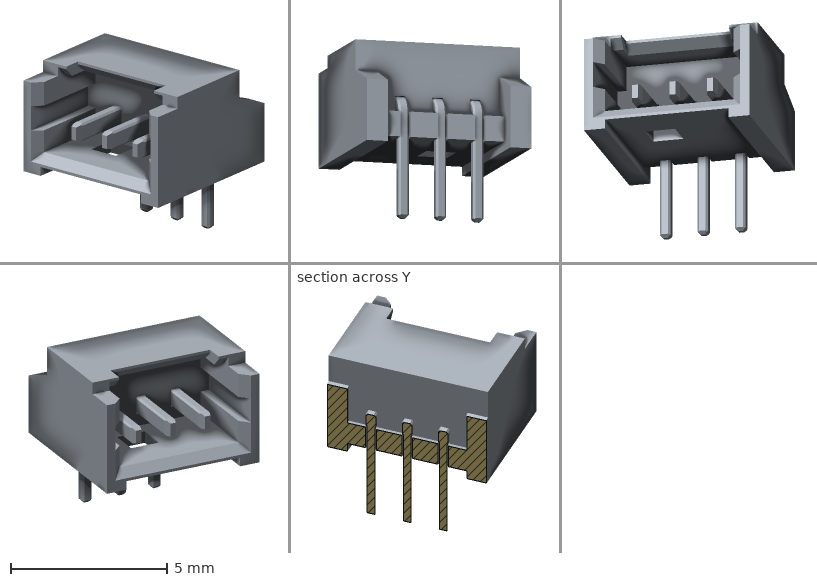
import cadquery as cq


width = 5.5
depth = 5.5
height = 3.5
total_height = 5.8
front_y = -depth / 2
back_y = depth / 2

foot_width = 0.7
foot_height = 0.3
feet_gap = width - 2 * foot_width
wing_depth = 1.295
wing_root_height = 2.5
wing_end_height = 1.995
body_back_y = back_y - wing_depth

block_back_y = back_y - 0.7

cavity_width = 4.28
cavity_depth = 2.945
cavity_floor = 0.7
entry_bevel = 0.3
cavity_back_y = front_y + cavity_depth

groove_depth = entry_bevel
groove_bottom = 1.45
groove_top = 2.29

roof_thickness = 0.4
roof_lip = 0.09
roof_setback = 1.005
roof_notch_width = 3.585
roof_notch_depth = 0.61
roof_bottom = height - roof_thickness
roof_front_y = front_y + roof_setback
roof_notch_y = roof_front_y + roof_notch_depth

floor_hole_size = 1.0
floor_hole_front_y = -1.295

pin_count = 3
pin_pitch = 1.245
pin_width = 0.35
bar_height = 0.6
bar_bottom = 1.125
bar_top = bar_bottom + bar_height
bar_tip_y = -2.05
bar_taper_length = 0.3
bar_taper_inset = 0.075
leg_back_y = 1.885
leg_front_y = leg_back_y - pin_width
leg_bottom = height - total_height
leg_taper_length = 0.105
leg_taper_inset = 0.1
pin_edge_chamfer = 0.065
pin_positions = [(i - (pin_count - 1) / 2) * pin_pitch for i in range(pin_count)]


def block(x_size, y_min, y_max, z_min, z_max, x_centre=0):
    """Box centred on x_centre, between the given Y and Z limits."""
    size = (x_size, y_max - y_min, z_max - z_min)
    return cq.Workplane("XY").box(*size, centered=(True, False, False)).translate((x_centre, y_min, z_min))


def side_extrusion(points, x_size):
    """Closed Y-Z outline extruded along X, symmetric about X = 0."""
    return cq.Workplane("YZ").polyline(points).close().extrude(x_size / 2, both=True)


def make_shell():
    """Outer housing: side outline, rear recess, low rear block and gap under the floor."""
    outline = [
        (front_y, 0),
        (back_y, 0),
        (back_y, wing_end_height),
        (body_back_y, wing_root_height),
        (body_back_y, height),
        (roof_front_y, height),
        (roof_front_y, roof_bottom),
        (front_y, roof_bottom),
    ]
    shell = side_extrusion(outline, width)
    shell = shell.cut(block(feet_gap, body_back_y, back_y, 0, height))
    shell = shell.union(block(feet_gap, body_back_y, block_back_y, 0, bar_bottom))
    return shell.cut(block(feet_gap, front_y, back_y, 0, foot_height))


def make_cavity():
    """Space inside the housing: main pocket, bevelled entry and side grooves."""
    pocket = block(cavity_width, front_y, cavity_back_y, cavity_floor, roof_bottom)
    entry_outline = [
        (-cavity_width / 2 - entry_bevel, front_y),
        (cavity_width / 2 + entry_bevel, front_y),
        (cavity_width / 2, front_y + entry_bevel),
        (-cavity_width / 2, front_y + entry_bevel),
    ]
    entry_plan = cq.Workplane("XY").polyline(entry_outline).close().extrude(height)
    entry_side = side_extrusion(
        [
            (front_y, cavity_floor - entry_bevel),
            (front_y + entry_bevel, cavity_floor),
            (front_y + entry_bevel, roof_bottom),
            (front_y, roof_bottom),
        ],
        width,
    )
    grooves = block(cavity_width + 2 * groove_depth, front_y, cavity_back_y, groove_bottom, groove_top)
    return pocket.union(entry_plan.intersect(entry_side)).union(grooves)


def roof_bevel(edge_y, x_size):
    """Wedge that thins the underside of the roof to a lip at its front edge."""
    outline = [
        (edge_y, roof_bottom),
        (edge_y, height - roof_lip),
        (edge_y + entry_bevel, roof_bottom),
    ]
    return side_extrusion(outline, x_size)


def make_housing():
    housing = make_shell().cut(make_cavity())
    housing = housing.cut(roof_bevel(roof_front_y, cavity_width))
    housing = housing.cut(block(roof_notch_width, roof_front_y, roof_notch_y, roof_bottom, height))
    housing = housing.cut(roof_bevel(roof_notch_y, roof_notch_width))
    hole_back_y = floor_hole_front_y + floor_hole_size
    hole_x = (pin_positions[0] + pin_positions[1]) / 2
    floor_hole = block(floor_hole_size, floor_hole_front_y, hole_back_y, 0, cavity_floor, hole_x)
    housing = housing.cut(floor_hole)
    for x in pin_positions:
        housing = housing.cut(block(pin_width, cavity_back_y, body_back_y, bar_bottom, bar_top, x))
        housing = housing.cut(block(pin_width, leg_front_y, block_back_y, 0, bar_bottom, x))
    return housing


def tip_sleeve(plane, section_height, length, inset):
    """Material around a tapered pin tip; the tip ends at the far end of the plane normal."""
    envelope = cq.Workplane(plane).rect(pin_width, section_height).extrude(length)
    tip = (
        cq.Workplane(plane)
        .rect(pin_width, section_height)
        .workplane(offset=length)
        .rect(pin_width - 2 * inset, section_height - 2 * inset)
        .loft()
    )
    return envelope.cut(tip)


def make_pin():
    """Bent pin at X = 0: horizontal bar, rounded outer bend and vertical leg."""
    pin = (
        cq.Workplane("YZ")
        .moveTo(bar_tip_y, bar_bottom)
        .lineTo(leg_front_y, bar_bottom)
        .lineTo(leg_front_y, leg_bottom)
        .lineTo(leg_back_y, leg_bottom)
        .lineTo(leg_back_y, bar_bottom)
        .radiusArc((leg_back_y - bar_height, bar_top), -bar_height)
        .lineTo(bar_tip_y, bar_top)
        .close()
        .extrude(pin_width / 2, both=True)
        .faces("<X or >X")
        .edges()
        .chamfer(pin_edge_chamfer)
    )
    bar_sleeve = tip_sleeve("XZ", bar_height, bar_taper_length, bar_taper_inset)
    bar_sleeve = bar_sleeve.translate((0, bar_tip_y + bar_taper_length, bar_bottom + bar_height / 2))
    downward = cq.Plane((0, 0, 0), (1, 0, 0), (0, 0, -1))
    leg_sleeve = tip_sleeve(downward, pin_width, leg_taper_length, leg_taper_inset)
    leg_sleeve = leg_sleeve.translate((0, leg_back_y - pin_width / 2, leg_bottom + leg_taper_length))
    return pin.cut(bar_sleeve).cut(leg_sleeve)


result = make_housing()
pin = make_pin()
for x in pin_positions:
    result = result.union(pin.translate((x, 0, 0)))